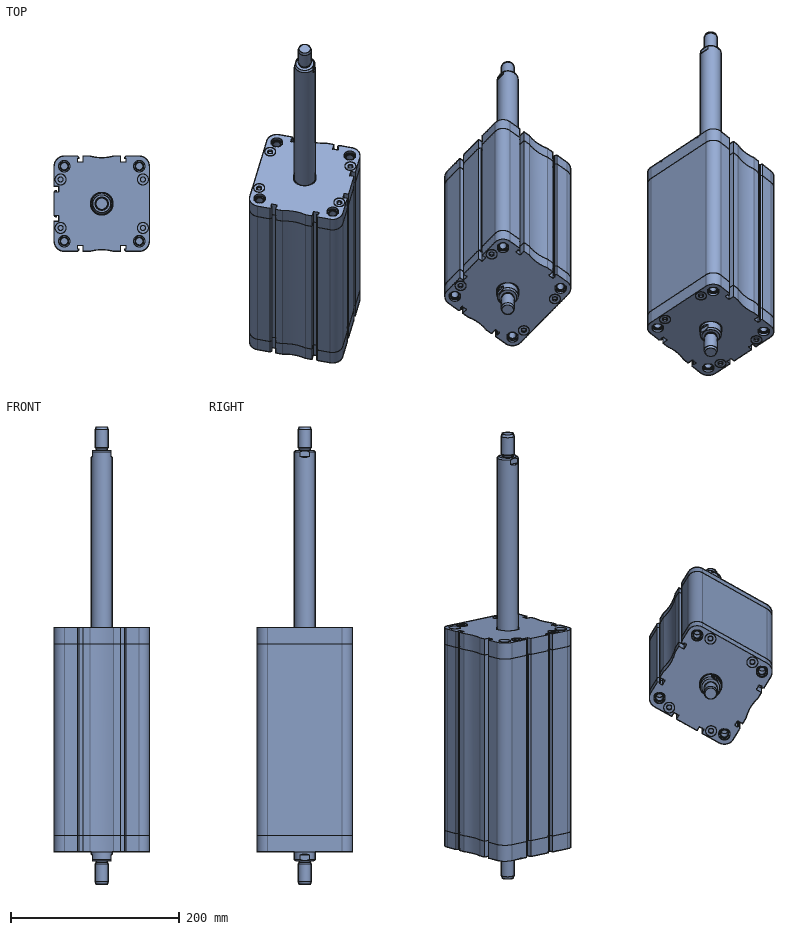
import cadquery as cq
import math

TOTAL_LENGTH = 543.0
HOUSING_BOTTOM = 38.5
HOUSING_TOP = 305.0
CAP_THICKNESS = 19.5

HOUSING_WIDTH = 113.5
CORNER_RADIUS = 12.5
DISH_RADIUS = 50.0
DISH_HALF_WIDTH = 14.0

FRONT_SLOT_PLAIN_WALL = 22.0
FRONT_SLOT_LIP = 27.0
FRONT_SLOT_CAVITY = 29.0
FRONT_SLOT_DEPTH = 7.0
SIDE_SLOT_PLAIN_WALL = 20.5
SIDE_SLOT_LIP = 16.0
SIDE_SLOT_CAVITY = 14.0
SIDE_SLOT_DEPTH = 5.5
LIP_BEVEL_DEPTH = 1.9
LIP_THICKNESS = 3.0

THREAD_HOLE_OFFSET = 44.5
THREAD_HOLE_DIAMETER = 8.5
THREAD_SINK_DIAMETER = 10.5
COUNTERBORE_DIAMETER = 13.5
COUNTERBORE_DEPTH = 3.55

RECESS_X = 49.0
RECESS_Y = 29.0
RECESS_DIAMETER = 13.0
RECESS_DEPTH = 0.5
RECESS_HOLE_DIAMETER = 6.0
RECESS_HOLE_DEPTH = 2.5

ROD_DIAMETER = 25.0
ROD_CHAMFER = 1.9
FLAT_WIDTH = 22.0
FLAT_LENGTH = 7.0
STUD_DIAMETER = 16.0
STUD_LENGTH = 27.5
STUD_TIP_DIAMETER = 13.5
STUD_TIP_LENGTH = 3.0
RELIEF_DIAMETER = 13.5
RELIEF_LENGTH = 3.0
RELIEF_TAPER = 1.5

SEAL_DIAMETER = 30.0
SEAL_LENGTH = 5.5
MOUTH_DIAMETER = 27.0
MOUTH_DEPTH = 1.5

half_width = HOUSING_WIDTH / 2
barrel_bottom = HOUSING_BOTTOM + CAP_THICKNESS
barrel_top = HOUSING_TOP - CAP_THICKNESS
seal_bottom = HOUSING_TOP - MOUTH_DEPTH - SEAL_LENGTH
SIDES = (-1, 1)


def cylinder(x, y, z, diameter, height):
    return cq.Workplane("XY", origin=(x, y, z)).circle(diameter / 2).extrude(height)


def prism(points, z0, z1):
    return cq.Workplane("XY", origin=(0, 0, z0)).polyline(points).close().extrude(z1 - z0)


def undercut_slot(plain_wall, lip, cavity, depth):
    """Slot outline as (distance from the face middle, depth below the face)."""
    return [
        (plain_wall, 0),
        (plain_wall, depth),
        (cavity, depth),
        (cavity, LIP_THICKNESS),
        (lip, LIP_THICKNESS),
        (lip, LIP_BEVEL_DEPTH),
        (cavity, 0),
    ]


def plain_slot(wall_a, wall_b, depth):
    """Slot outline with two plain walls, in the same coordinates as undercut_slot."""
    return [(wall_a, 0), (wall_a, depth), (wall_b, depth), (wall_b, 0)]


def housing_section(z0, z1, side_slot):
    """A length of housing with dished, slotted front and back faces and a slotted -X face."""
    body = cq.Workplane("XY", origin=(0, 0, z0)).rect(HOUSING_WIDTH, HOUSING_WIDTH).extrude(z1 - z0)
    body = body.edges("|Z").fillet(CORNER_RADIUS)
    dish_center = half_width + math.sqrt(DISH_RADIUS**2 - DISH_HALF_WIDTH**2)
    front_slot = undercut_slot(FRONT_SLOT_PLAIN_WALL, FRONT_SLOT_LIP, FRONT_SLOT_CAVITY, FRONT_SLOT_DEPTH)
    for face in SIDES:
        body = body.cut(cylinder(0, face * dish_center, z0, 2 * DISH_RADIUS, z1 - z0))
        for side in SIDES:
            points = [(side * along, face * (half_width - depth)) for along, depth in front_slot]
            body = body.cut(prism(points, z0, z1))
    for side in SIDES:
        points = [(depth - half_width, side * along) for along, depth in side_slot]
        body = body.cut(prism(points, z0, z1))
    return body


def make_barrel():
    side_slot = undercut_slot(SIDE_SLOT_PLAIN_WALL, SIDE_SLOT_LIP, SIDE_SLOT_CAVITY, SIDE_SLOT_DEPTH)
    body = housing_section(barrel_bottom, barrel_top, side_slot)
    return body.cut(cylinder(0, 0, barrel_bottom, ROD_DIAMETER, barrel_top - barrel_bottom))


def thread_hole(x, y):
    """Through hole with a countersunk edge at the floor of its counterbore."""
    floor = HOUSING_TOP - COUNTERBORE_DEPTH
    sink_depth = (THREAD_SINK_DIAMETER - THREAD_HOLE_DIAMETER) / 2
    sink = cq.Workplane("XY", origin=(x, y, floor)).circle(THREAD_SINK_DIAMETER / 2)
    hole = cylinder(x, y, barrel_top, THREAD_HOLE_DIAMETER, CAP_THICKNESS)
    hole = hole.union(sink.extrude(-sink_depth, taper=45))
    return hole.union(cylinder(x, y, floor, COUNTERBORE_DIAMETER, COUNTERBORE_DEPTH))


def recess(x, y):
    floor = HOUSING_TOP - RECESS_DEPTH
    disc = cylinder(x, y, floor, RECESS_DIAMETER, RECESS_DEPTH)
    return disc.union(cylinder(x, y, floor, RECESS_HOLE_DIAMETER, -RECESS_HOLE_DEPTH))


def make_top_cap():
    side_slot = plain_slot(SIDE_SLOT_PLAIN_WALL, SIDE_SLOT_CAVITY, SIDE_SLOT_DEPTH)
    cap = housing_section(barrel_top, HOUSING_TOP, side_slot)
    cap = cap.cut(cylinder(0, 0, barrel_top, ROD_DIAMETER, CAP_THICKNESS))
    cap = cap.cut(cylinder(0, 0, seal_bottom, SEAL_DIAMETER, SEAL_LENGTH))
    cap = cap.cut(cylinder(0, 0, HOUSING_TOP - MOUTH_DEPTH, MOUTH_DIAMETER, MOUTH_DEPTH))
    for side_x in SIDES:
        for side_y in SIDES:
            cap = cap.cut(thread_hole(side_x * THREAD_HOLE_OFFSET, side_y * THREAD_HOLE_OFFSET))
            cap = cap.cut(recess(side_x * RECESS_X, side_y * RECESS_Y))
    return cap


def make_top_seal():
    ring = cylinder(0, 0, seal_bottom, SEAL_DIAMETER, SEAL_LENGTH)
    return ring.cut(cylinder(0, 0, seal_bottom, ROD_DIAMETER, SEAL_LENGTH))


def mirror_to_bottom(body):
    """The matching body at the lower end of the housing."""
    return body.mirror("XY", (0, 0, (HOUSING_BOTTOM + HOUSING_TOP) / 2))


def rod_flat_cut(side):
    """Material removed for one lower wrench flat, which runs out to the rod surface at 45 degrees."""
    flat = FLAT_WIDTH / 2
    outside = ROD_DIAMETER / 2 + ROD_CHAMFER
    flat_end = STUD_LENGTH + FLAT_LENGTH
    points = [
        (side * flat, STUD_LENGTH),
        (side * flat, flat_end),
        (side * outside, flat_end + outside - flat),
        (side * outside, STUD_LENGTH),
    ]
    return cq.Workplane("XZ").polyline(points).close().extrude(ROD_DIAMETER, both=True)


def make_rod():
    rod_radius = ROD_DIAMETER / 2
    relief_top = STUD_LENGTH - RELIEF_LENGTH
    lower_end = [
        (0, 0),
        (STUD_TIP_DIAMETER / 2, 0),
        (STUD_DIAMETER / 2, STUD_TIP_LENGTH),
        (STUD_DIAMETER / 2, relief_top),
        (RELIEF_DIAMETER / 2, relief_top + RELIEF_TAPER),
        (RELIEF_DIAMETER / 2, STUD_LENGTH),
        (rod_radius - ROD_CHAMFER, STUD_LENGTH),
        (rod_radius, STUD_LENGTH + ROD_CHAMFER),
    ]
    upper_end = [(radius, TOTAL_LENGTH - z) for radius, z in reversed(lower_end)]
    rod = cq.Workplane("XZ").polyline(lower_end + upper_end).close().revolve(360, (0, 0), (0, 1))
    for side in SIDES:
        cut = rod_flat_cut(side)
        rod = rod.cut(cut).cut(cut.mirror("XY", (0, 0, TOTAL_LENGTH / 2)))
    return rod


barrel = make_barrel()
top_cap = make_top_cap()
bottom_cap = mirror_to_bottom(top_cap)
top_seal = make_top_seal()
bottom_seal = mirror_to_bottom(top_seal)
rod = make_rod()

bodies = (barrel, top_cap, bottom_cap, top_seal, bottom_seal, rod)
result = cq.Compound.makeCompound([body.val() for body in bodies])